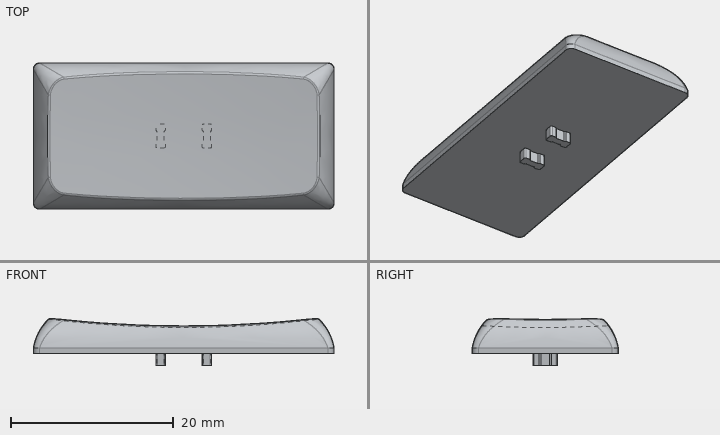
import cadquery as cq
import math

length = 37.0
width = 18.0
rim_height = 0.7
rim_corner_radius = 0.78

wall_radius = 6.48
foot_lean = 10.0
crest_lean = 55.0
wall_steps = 4
corner_growth = 0.7

dish_radius = 133.2
dish_bottom = 3.2
dish_edge_radius = 0.35

stem_spacing = 5.7
stem_width = 1.2
stem_length = 2.95
stem_drop = 1.48
stem_edge_radius = 0.2
waist_depth = 0.15
waist_mouth = 1.5
waist_floor = 1.07


def make_rim():
    return (
        cq.Workplane("XY")
        .rect(length, width)
        .extrude(rim_height)
        .edges("|Z")
        .fillet(rim_corner_radius)
    )


def wall_section(lean):
    """Rounded rectangle of the cap at the height where its walls have this lean."""
    start = math.radians(foot_lean)
    angle = math.radians(lean)
    inset = wall_radius * (math.cos(start) - math.cos(angle))
    height = rim_height + wall_radius * (math.sin(angle) - math.sin(start))
    corner_radius = rim_corner_radius + corner_growth * inset
    outline = cq.Sketch().rect(length - 2 * inset, width - 2 * inset).vertices().fillet(corner_radius)
    return outline.moved(cq.Location(cq.Vector(0, 0, height)))


def make_crown():
    """Bulging upper body with the dish cut into its top."""
    lean_step = (crest_lean - foot_lean) / wall_steps
    sections = [wall_section(foot_lean + i * lean_step) for i in range(wall_steps + 1)]
    body = cq.Workplane("XY").placeSketch(*sections).loft()
    dish = cq.Workplane("XZ").sphere(dish_radius).translate((0, 0, dish_bottom + dish_radius))
    return body.cut(dish).faces(">Z").edges().fillet(dish_edge_radius)


def make_stem(x):
    """Prong with rounded vertical edges and a shallow groove down each broad side."""
    stem = (
        cq.Workplane("XY")
        .rect(stem_width, stem_length)
        .extrude(-stem_drop)
        .edges("|Z")
        .fillet(stem_edge_radius)
    )
    flank = stem_width / 2
    groove = (
        cq.Workplane("XY")
        .moveTo(flank, -waist_mouth / 2)
        .lineTo(flank - waist_depth, -waist_floor / 2)
        .lineTo(flank - waist_depth, waist_floor / 2)
        .lineTo(flank, waist_mouth / 2)
        .close()
        .extrude(-stem_drop)
    )
    stem = stem.cut(groove).cut(groove.mirror("YZ"))
    return stem.translate((x, 0, 0))


result = make_rim().union(make_crown())
for side in (-1, 1):
    result = result.union(make_stem(side * stem_spacing / 2))